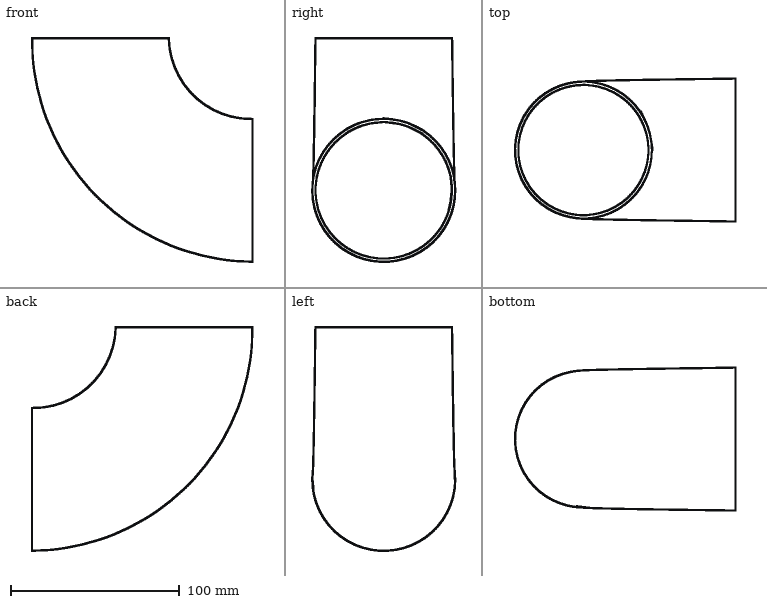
import cadquery as cq
import math

bend_radius = 90.0
side_diameter = 84.7
top_diameter = 81.0
wall = 2.0

mid_bend = bend_radius * math.cos(math.radians(45))


def tapered_bend(top_dia, side_dia):
    """Solid quarter bend whose round section grows from the top end to the side end."""
    centerline = (
        cq.Workplane("XZ")
        .moveTo(-bend_radius, 0)
        .threePointArc((-mid_bend, -mid_bend), (0, -bend_radius))
    )
    return (
        cq.Workplane("XY", origin=(-bend_radius, 0, 0))
        .circle(top_dia / 2)
        .add(cq.Workplane("YZ", origin=(0, 0, -bend_radius)).circle(side_dia / 2))
        .toPending()
        .sweep(centerline, multisection=True)
    )


outer = tapered_bend(top_diameter, side_diameter)
bore = tapered_bend(top_diameter - 2 * wall, side_diameter - 2 * wall)
result = outer.cut(bore)